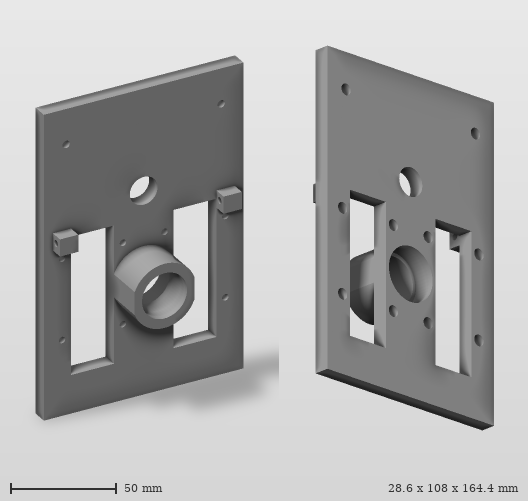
import cadquery as cq

plate_thickness = 8.2
plate_width = 108.0
plate_height = 164.4
overall_depth = 28.6

window_inner_y = 16.1
window_width = 23.2
window_bottom_z = 20.7
window_height = 74.3
window_center_y = window_inner_y + window_width / 2
window_outer_y = window_inner_y + window_width

boss_z = 62.6
boss_diameter = 34.5
boss_length = overall_depth - plate_thickness
bore_diameter = 24.3
bore_recess_diameter = 28.3
bore_recess_depth = 11.5

opening_diameter = 15.0
opening_z = 109.5

screw_head_diameter = 6.0
screw_head_depth = 5.0
window_screw_diameter = 3.5
window_screw_pitch_y = 32.9
window_screw_pitch_z = 43.7
top_screw_diameter = 4.0
top_screw_y = 42.0
top_screw_z = 145.3

lug_depth = 7.0
lug_width = 9.9
lug_height = 9.2
lug_bottom_z = 90.3
lug_hole_diameter = 3.5
lug_hole_offset_x = 3.3
lug_hole_z = 95.5


def block(x_start, depth, y_center, width, z_bottom, height):
    """Box placed by its front face, middle in Y and bottom edge."""
    box = cq.Workplane("XY").box(depth, width, height, centered=(False, True, False))
    return box.translate((x_start, y_center, z_bottom))


def cylinder_along_x(x_start, length, diameter, y, z):
    return cq.Workplane("YZ", origin=(x_start, y, z)).circle(diameter / 2).extrude(length)


def screw_hole(diameter, y, z):
    """Through hole with a flat-bottomed head recess in the front face."""
    shank = cylinder_along_x(0, plate_thickness, diameter, y, z)
    head = cylinder_along_x(0, screw_head_depth, screw_head_diameter, y, z)
    return shank.union(head)


def flatted_boss():
    boss = cylinder_along_x(plate_thickness, boss_length, boss_diameter, 0, boss_z)
    flats = block(
        plate_thickness, boss_length, 0, 2 * window_inner_y, boss_z - boss_diameter / 2, boss_diameter
    )
    return boss.intersect(flats)


def drilled_lug(side):
    y_center = side * (window_outer_y + lug_width / 2)
    lug = block(plate_thickness, lug_depth, y_center, lug_width, lug_bottom_z, lug_height)
    hole_origin = (plate_thickness + lug_hole_offset_x, y_center, lug_hole_z)
    hole = cq.Workplane("XZ", origin=hole_origin).circle(lug_hole_diameter / 2)
    return lug.cut(hole.extrude(lug_width, both=True))


result = block(0, plate_thickness, 0, plate_width, 0, plate_height).union(flatted_boss())
for side in (-1, 1):
    result = result.union(drilled_lug(side))

result = result.cut(cylinder_along_x(0, overall_depth, bore_diameter, 0, boss_z))
result = result.cut(cylinder_along_x(0, bore_recess_depth, bore_recess_diameter, 0, boss_z))
result = result.cut(cylinder_along_x(0, plate_thickness, opening_diameter, 0, opening_z))

for side in (-1, 1):
    result = result.cut(
        block(0, plate_thickness, side * window_center_y, window_width, window_bottom_z, window_height)
    )
    result = result.cut(screw_hole(top_screw_diameter, side * top_screw_y, top_screw_z))
    for step_y in (-0.5, 0.5):
        for step_z in (-0.5, 0.5):
            screw_y = side * window_center_y + step_y * window_screw_pitch_y
            screw_z = boss_z + step_z * window_screw_pitch_z
            result = result.cut(screw_hole(window_screw_diameter, screw_y, screw_z))